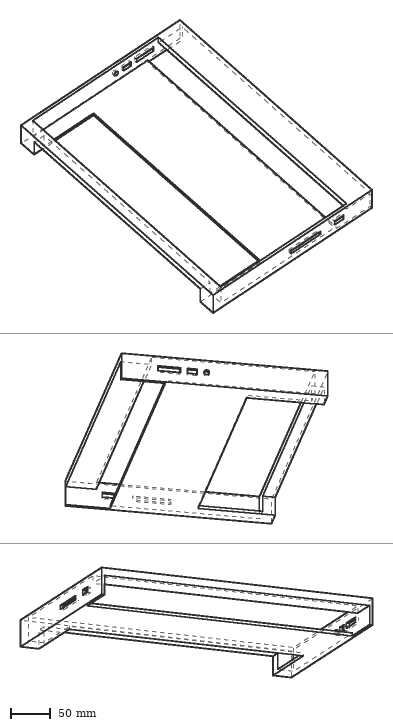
import cadquery as cq

length = 370.0
depth = 265.0
height = 35.0
wall = 4.0

bar_thickness = 10.0
front_bar_depth = 16.3
rear_bar_depth = 39.2

post_width = 25.0

floor_thickness = 4.0
floor_rear_gap = 57.0
floor_opening_depth = 99.0

port_center_z = 18.5
port_height = 6.5
left_slots = [(47.0, 76.0), (84.7, 97.3)]
jack_distance = 109.5
jack_diameter = 6.5
right_short_slot = (47.0, 62.0)
right_long_slot = (86.0, 135.0)
right_long_slot_center_z = 17.8
right_long_slot_height = 5.0


def box(x_range, y_range, z_range):
    """Axis-aligned box spanning the given (low, high) ranges."""
    sizes = [high - low for low, high in (x_range, y_range, z_range)]
    corner = (x_range[0], y_range[0], z_range[0])
    return cq.Workplane("XY").box(*sizes, centered=False).translate(corner)


def wall_slot(wall_x_range, distances, center_z, slot_height):
    """Rectangular cutter through one side wall."""
    near, far = distances
    z_range = (center_z - slot_height / 2, center_z + slot_height / 2)
    return box(wall_x_range, (depth - far, depth - near), z_range)


left_wall_x = (0, wall)
right_wall_x = (length - wall, length)
full_x = (0, length)
full_z = (0, height)
bar_z = (height - bar_thickness, height)

frame = box(left_wall_x, (0, depth), full_z)
frame = frame.union(box(right_wall_x, (0, depth), full_z))
frame = frame.union(box(full_x, (0, front_bar_depth), bar_z))
frame = frame.union(box(full_x, (depth - rear_bar_depth, depth), bar_z))

for post_x in [(0, post_width), (length - post_width, length)]:
    frame = frame.union(box(post_x, (0, front_bar_depth), full_z))

floor = box(full_x, (0, depth - floor_rear_gap), (0, floor_thickness))
opening_x = (post_width, length - post_width)
floor = floor.cut(box(opening_x, (0, floor_opening_depth), (0, floor_thickness)))
frame = frame.union(floor)

for slot in left_slots:
    frame = frame.cut(wall_slot(left_wall_x, slot, port_center_z, port_height))
jack = (
    cq.Workplane("YZ")
    .center(depth - jack_distance, port_center_z)
    .circle(jack_diameter / 2)
    .extrude(wall)
)
frame = frame.cut(jack)

frame = frame.cut(wall_slot(right_wall_x, right_short_slot, port_center_z, port_height))
frame = frame.cut(
    wall_slot(right_wall_x, right_long_slot, right_long_slot_center_z, right_long_slot_height)
)

result = frame.translate((-length / 2, -depth / 2, 0))